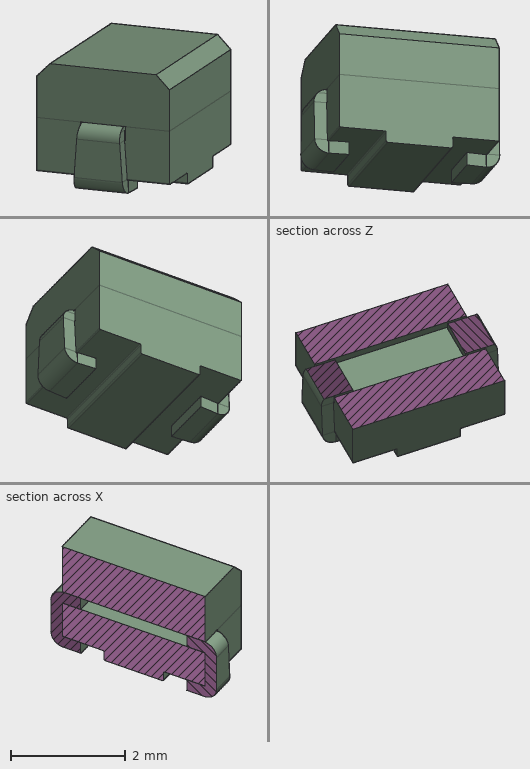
import cadquery as cq
import math

body_width = 2.5
body_length = 2.9
total_height = 2.2
top_chamfer = 0.25
standoff = 0.025
pedestal_length = 1.21
pedestal_round = 0.03
edge_round = 0.02
parting_height = 1.2

sheet = 0.23
total_length = 3.36
foot_width = 1.0
foot_root_width = 0.95
foot_end = 1.07
tongue_end = foot_end
leg_width_low = 0.91
leg_width_high = 0.81
tongue_width = 0.785
taper_end_angle = 45
slot_width = 0.84

outer_bend = sheet + edge_round
outer_y = total_length / 2
bend_y = outer_y - outer_bend
low_bend_z = outer_bend
high_bend_z = parting_height - outer_bend
body_face = body_length / 2
taper_top_z = high_bend_z + outer_bend * math.sin(math.radians(taper_end_angle))


def block(width, y_min, y_max, z_min, z_max):
    """Box centred on X = 0 between the given Y and Z limits."""
    return (
        cq.Workplane("XY")
        .box(width, y_max - y_min, z_max - z_min, centered=(True, False, False))
        .translate((0, y_min, z_min))
    )


def make_upper_housing():
    """Upper half: a block with its two long top edges chamfered."""
    return (
        block(body_width, -body_face, body_face, parting_height, total_height)
        .edges("|Y and >Z")
        .chamfer(top_chamfer)
    )


def make_lower_housing():
    """Lower half: a block with a pedestal below and the tongue slot across its top."""
    base = (
        block(body_width, -body_face, body_face, sheet, parting_height)
        .faces("<Z")
        .edges("|X")
        .fillet(edge_round)
    )
    half_pedestal = pedestal_length / 2
    pedestal = (
        block(body_width, -half_pedestal, half_pedestal, standoff, sheet)
        .faces("<Z")
        .edges("|X")
        .fillet(pedestal_round)
    )
    lower = base.union(pedestal)
    for side in (-1, 1):
        corner = cq.NearestToPointSelector((0, side * half_pedestal, sheet))
        lower = lower.edges("|X").edges(corner).fillet(edge_round)
    return lower.cut(make_tongue_slot())


def make_tongue_slot():
    """Slot from end to end, with rounded lower lips at both mouths."""
    slot_floor = parting_height - sheet
    return (
        cq.Workplane("YZ")
        .moveTo(-body_face, parting_height)
        .lineTo(-body_face, high_bend_z)
        .radiusArc((-bend_y, slot_floor), edge_round)
        .lineTo(bend_y, slot_floor)
        .radiusArc((body_face, high_bend_z), edge_round)
        .lineTo(body_face, parting_height)
        .close()
        .extrude(slot_width / 2, both=True)
    )


def make_lead_strip():
    """C-shaped side profile of the bent sheet, extruded to the full foot width."""
    return (
        cq.Workplane("YZ")
        .moveTo(tongue_end, parting_height)
        .lineTo(bend_y, parting_height)
        .radiusArc((outer_y, high_bend_z), outer_bend)
        .lineTo(outer_y, low_bend_z)
        .radiusArc((bend_y, 0), outer_bend)
        .lineTo(foot_end, 0)
        .lineTo(foot_end, sheet)
        .lineTo(bend_y, sheet)
        .radiusArc((body_face, low_bend_z), -edge_round)
        .lineTo(body_face, high_bend_z)
        .radiusArc((bend_y, parting_height - sheet), -edge_round)
        .lineTo(tongue_end, parting_height - sheet)
        .close()
        .extrude(foot_width / 2, both=True)
    )


def make_leg_outline():
    """Prism along Y with the leg widths: flared lower bend, tapered leg and parallel upper end."""
    half_widths_up = [
        (foot_root_width / 2, 0),
        (leg_width_low / 2, low_bend_z),
        (leg_width_high / 2, high_bend_z),
        (tongue_width / 2, taper_top_z),
        (tongue_width / 2, parting_height),
    ]
    left_side_down = [(-x, z) for x, z in reversed(half_widths_up)]
    return cq.Workplane("XZ").polyline(half_widths_up + left_side_down).close().extrude(-outer_y)


def make_foot():
    """Flat foot that widens towards its free edge."""
    return (
        cq.Workplane("XY")
        .moveTo(-foot_width / 2, foot_end)
        .lineTo(foot_width / 2, foot_end)
        .lineTo(foot_root_width / 2, bend_y)
        .lineTo(-foot_root_width / 2, bend_y)
        .close()
        .extrude(sheet)
    )


def make_lead():
    """Lead at the +Y end: tongue, tapered leg and widening foot."""
    leg_region = block(foot_width, bend_y, outer_y, 0, parting_height)
    leg = make_lead_strip().intersect(make_leg_outline()).intersect(leg_region)
    tongue = block(tongue_width, tongue_end, bend_y, parting_height - sheet, parting_height)
    return leg.union(make_foot()).union(tongue)


housing = make_upper_housing().union(make_lower_housing(), clean=False)
leads = [make_lead().rotate((0, 0, 0), (0, 0, 1), angle) for angle in (0, 180)]

result = cq.Compound.makeCompound([housing.val(), *[lead.val() for lead in leads]])